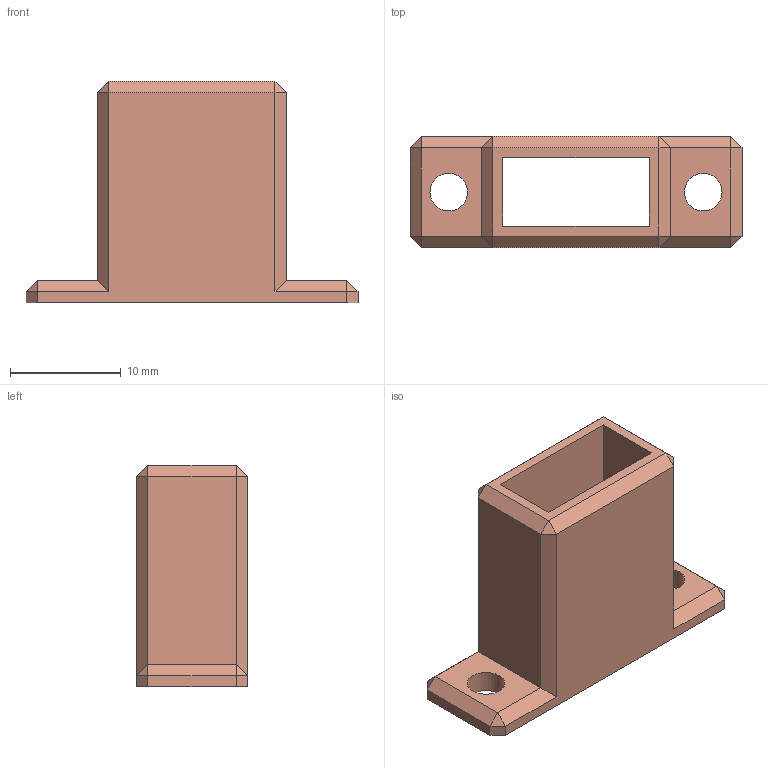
import cadquery as cq

length = 30.0
width = 10.0
height = 20.0

tower_length = 17.0
flange_thickness = 2.0
bevel = 1.0

opening_length = 13.2
opening_width = 6.2

hole_diameter = 3.4
hole_spacing = 23.0


def beveled_body():
    """Inverted-T body, beveled on every outer edge except those of the base."""
    half_length = length / 2
    half_tower = tower_length / 2
    profile = [
        (-half_length, 0),
        (half_length, 0),
        (half_length, flange_thickness),
        (half_tower, flange_thickness),
        (half_tower, height),
        (-half_tower, height),
        (-half_tower, flange_thickness),
        (-half_length, flange_thickness),
    ]
    body = cq.Workplane("XZ").polyline(profile).close().extrude(width / 2, both=True)

    outer_edges = "(not <Z) and ((not |Y) or >Z or <X or >X)"
    return body.edges(outer_edges).chamfer(bevel)


def socket_opening():
    """Rectangular passage running the full height of the tower."""
    return cq.Workplane("XY").rect(opening_length, opening_width).extrude(height)


def mounting_holes():
    """One vertical hole through each flange ear."""
    centers = [(-hole_spacing / 2, 0), (hole_spacing / 2, 0)]
    return cq.Workplane("XY").pushPoints(centers).circle(hole_diameter / 2).extrude(flange_thickness)


result = beveled_body().cut(socket_opening()).cut(mounting_holes())